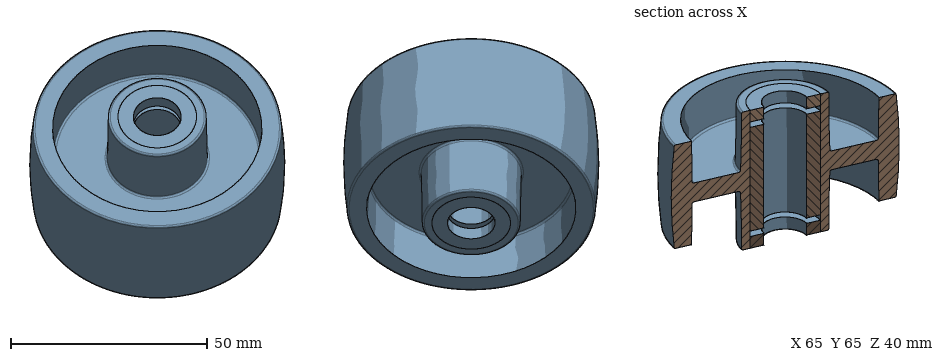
import cadquery as cq
import math

tread_radius = 32.5
crown_drop = 0.9
rim_height = 30.0
recess_radius = 26.65
web_thickness = 5.6
hub_length = 40.0
hub_end_radius = 12.5
draft_angle = 1.0
edge_round = 0.5

bearing_radius = 10.0
axle_radius = 6.05
bush_length = 3.5
end_gap = 1.4
roller_cage_length = hub_length - 2 * (bush_length + end_gap)


def ring(outer_radius, inner_radius, length, bottom):
    """Plain tube along Z, starting at the given height."""
    return (
        cq.Workplane("XY")
        .workplane(offset=bottom)
        .circle(outer_radius)
        .circle(inner_radius)
        .extrude(length)
    )


def crowned_blank():
    """Solid of revolution with the barrel-shaped tread and rounded edges."""
    half = rim_height / 2
    edge_radius = tread_radius - crown_drop
    return (
        cq.Workplane("XZ")
        .moveTo(0, -half)
        .lineTo(edge_radius, -half)
        .threePointArc((tread_radius, 0), (edge_radius, half))
        .lineTo(0, half)
        .close()
        .revolve(360, (0, 0, 0), (0, 1, 0))
        .faces("<Z or >Z")
        .edges()
        .fillet(edge_round)
    )


def recess_cutter():
    """Annular space on the upper side, between the drafted rim wall and the drafted hub."""
    floor = web_thickness / 2
    slope = math.tan(math.radians(draft_angle))
    rim_depth = rim_height / 2 - floor
    hub_height = hub_length / 2 - floor
    floor_outer_radius = recess_radius - rim_depth * slope
    hub_base_radius = hub_end_radius + hub_height * slope
    hub_rim_radius = hub_base_radius - rim_depth * slope
    top = rim_height / 2
    return (
        cq.Workplane("XZ")
        .moveTo(hub_base_radius, floor)
        .lineTo(floor_outer_radius, floor)
        .lineTo(recess_radius, top)
        .lineTo(hub_rim_radius, top)
        .close()
        .revolve(360, (0, 0, 0), (0, 1, 0))
        .faces("<Z")
        .edges()
        .fillet(edge_round)
    )


def hub_blank():
    """Two cones meeting base to base at Z = 0, with rounded ends."""
    half = hub_length / 2
    middle_radius = hub_end_radius + half * math.tan(math.radians(draft_angle))
    return (
        cq.Workplane("XZ")
        .moveTo(0, -half)
        .lineTo(hub_end_radius, -half)
        .lineTo(middle_radius, 0)
        .lineTo(hub_end_radius, half)
        .lineTo(0, half)
        .close()
        .revolve(360, (0, 0, 0), (0, 1, 0))
        .faces("<Z or >Z")
        .edges()
        .fillet(edge_round)
    )


def make_wheel():
    upper_recess = recess_cutter()
    lower_recess = upper_recess.mirror("XY")
    bore = cq.Workplane("XY").circle(bearing_radius).extrude(hub_length / 2, both=True)
    return crowned_blank().union(hub_blank()).cut(upper_recess).cut(lower_recess).cut(bore)


def make_bush(bottom):
    return ring(bearing_radius, axle_radius, bush_length, bottom)


def make_roller_cage():
    return ring(bearing_radius, axle_radius, roller_cage_length, -roller_cage_length / 2)


wheel = make_wheel()
roller_cage = make_roller_cage()
bush_bottoms = (-hub_length / 2, hub_length / 2 - bush_length)
bushes = [make_bush(bottom) for bottom in bush_bottoms]

result = cq.Compound.makeCompound(
    [wheel.val(), roller_cage.val(), *[bush.val() for bush in bushes]]
)